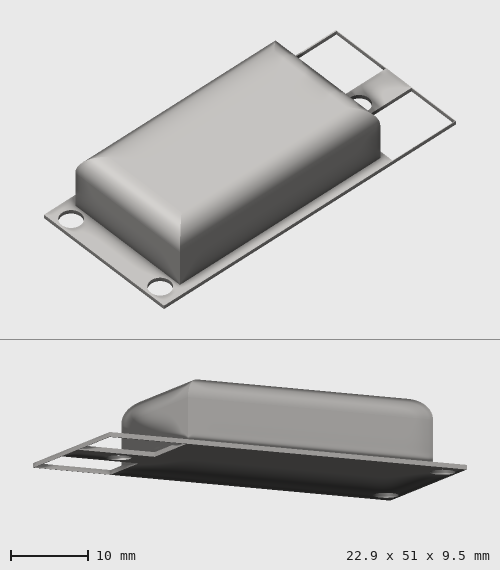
import cadquery as cq

plate_width = 22.95
plate_length = 51.0
plate_thickness = 0.6
total_height = 9.5

housing_width = 20.0
housing_length = 35.0
housing_front_gap = 4.15
housing_edge_radius = 3.0

window_front_y = plate_length - 11.0
left_rim = 0.2
right_rim = 0.1
back_rim = 0.1
tab_left_x = 9.65
tab_width = 4.9

hole_diameter = 3.3
front_hole_inset_x = 2.95
front_hole_y = 2.05
tab_hole_x = 12.2
tab_hole_y = plate_length - 7.1


def block(x_start, x_end, y_start, y_end, height):
    """Box standing on the plane z = 0 between the given limits."""
    return (
        cq.Workplane("XY")
        .box(x_end - x_start, y_end - y_start, height, centered=False)
        .translate((x_start, y_start, 0))
    )


def make_plate():
    tab_right_x = tab_left_x + tab_width
    window_back_y = plate_length - back_rim
    window_spans = [
        (left_rim, tab_left_x),
        (tab_right_x, plate_width - right_rim),
    ]
    hole_centers = [
        (front_hole_inset_x, front_hole_y),
        (plate_width - front_hole_inset_x, front_hole_y),
        (tab_hole_x, tab_hole_y),
    ]
    plate = block(0, plate_width, 0, plate_length, plate_thickness)
    for x_start, x_end in window_spans:
        plate = plate.cut(block(x_start, x_end, window_front_y, window_back_y, plate_thickness))
    holes = (
        cq.Workplane("XY")
        .pushPoints(hole_centers)
        .circle(hole_diameter / 2)
        .extrude(plate_thickness)
    )
    return plate.cut(holes)


def make_housing():
    """Sharp-cornered block whose rounded top edges meet in mitres."""
    side_gap = (plate_width - housing_width) / 2
    housing = block(
        side_gap,
        side_gap + housing_width,
        housing_front_gap,
        housing_front_gap + housing_length,
        total_height,
    )
    return housing.faces(">Z").edges().fillet(housing_edge_radius)


result = make_plate().union(make_housing())